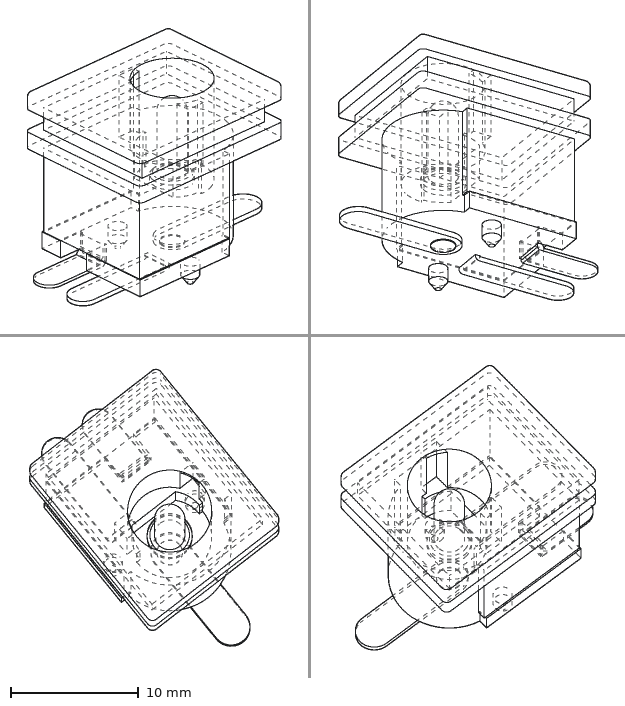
import cadquery as cq


base_height = 1.5
body_height = 7.48
flange_height = 1.5
neck_height = 2.0
cap_height = 1.53
body_bottom = base_height
flange_bottom = body_bottom + body_height
neck_bottom = flange_bottom + flange_height
cap_bottom = neck_bottom + neck_height
housing_top = cap_bottom + cap_height

cap_width, cap_back, cap_front = 13.0, 5.89, -9.78
neck_width, neck_back, neck_front = 11.06, 4.74, -8.65
body_width, body_back, body_front = 10.8, 1.02, -8.79
base_width, base_back, base_front = 11.06, 0.89, -8.85
barrel_diameter = 9.6
corner_radius = 0.49

bore_diameter = 6.6
front_ledge_depth = 6.0
relief_top_depth = 0.5
relief_width = 7.83
relief_back = -0.42
key_radius = 2.97
key_flat = 2.01
socket_depth = 9.0
contact_diameter = 2.4
contact_tip_depth = 1.7
collar_diameter = 3.55
collar_height = 0.66
collar_chamfer = 0.22

pin_spacing = 8.19
pin_y = -2.0
pin_diameter = 1.5
pin_length = 1.88
pin_chamfer = 0.5
pin_taper = 0.7

tab_bottom = -0.46
front_tab_width = 2.52
front_tab_x = 1.97
right_tab_end = -12.9
right_tab_start = -3.36
right_tab_bend = 0.38
right_tab_top = -0.07
right_tab_root_end = -3.83
left_tab_end = -12.75
left_tab_top = -0.2
left_tab_bend = 0.18
leg_back = -6.66
leg_front = -6.88
bend_front = -7.35
bend_top = 0.35
back_tab_width = 2.97
back_tab_end = 9.23
rivet_diameter = 2.0
rivet_bottom = -0.55
slot_clearance = 0.18


def block(width, back, front, bottom, height):
    """Box centred on X, between a back and a front face."""
    box = cq.Workplane("XY").box(width, back - front, height, centered=(True, False, False))
    return box.translate((0, front, bottom))


def cylinder(diameter, bottom, top):
    """Upright cylinder on the socket axis."""
    return cq.Workplane("XY").workplane(offset=bottom).circle(diameter / 2).extrude(top - bottom)


def tab_outline(width, x, start, end, rounded_start=False):
    """Closed plan outline of a tab at its underside, with a full round at its end."""
    radius = width / 2
    direction = 1 if end > start else -1
    round_start = end - direction * radius
    outline = (
        cq.Workplane("XY")
        .workplane(offset=tab_bottom)
        .moveTo(x - radius, start)
        .lineTo(x - radius, round_start)
        .threePointArc((x, end), (x + radius, round_start))
        .lineTo(x + radius, start)
    )
    if rounded_start:
        outline = outline.threePointArc((x, start - direction * radius), (x - radius, start))
    return outline.close()


def housing():
    cap = block(cap_width, cap_back, cap_front, cap_bottom, cap_height)
    cap = cap.edges("|Z or >Z").fillet(corner_radius)
    flange = block(cap_width, cap_back, cap_front, flange_bottom, flange_height)
    flange = flange.edges("|Z").fillet(corner_radius)
    neck = block(neck_width, neck_back, neck_front, neck_bottom, neck_height)
    body = block(body_width, body_back, body_front, body_bottom, body_height)
    base = block(base_width, base_back, base_front, 0, base_height)
    barrel = cylinder(barrel_diameter, 0, flange_bottom)
    return base.union(body).union(barrel).union(flange).union(neck).union(cap)


def socket():
    """Round bore, side-relieved under its rim, whose front half ends in a narrower flat-sided key."""
    bottom = housing_top - socket_depth
    ledge = housing_top - front_ledge_depth
    round_bore = cylinder(bore_diameter, ledge, housing_top)
    relief_height = front_ledge_depth - relief_top_depth
    side_relief = block(relief_width, relief_back, -key_flat, ledge, relief_height)
    back_half = cylinder(bore_diameter, bottom, housing_top).intersect(
        block(bore_diameter, bore_diameter, 0, bottom, socket_depth)
    )
    front_half = cylinder(2 * key_radius, bottom, housing_top).intersect(
        block(bore_diameter, bore_diameter, -key_flat, bottom, socket_depth)
    )
    return round_bore.union(side_relief).union(back_half).union(front_half)


def contact():
    """Centre contact with a domed tip, standing on a chamfered collar."""
    floor = housing_top - socket_depth
    collar = cylinder(collar_diameter, floor, floor + collar_height)
    collar = collar.faces(">Z").chamfer(collar_chamfer)
    radius = contact_diameter / 2
    dome_centre = housing_top - contact_tip_depth - radius
    dome = cq.Workplane("XY").sphere(radius).translate((0, 0, dome_centre))
    return collar.union(cylinder(contact_diameter, floor, dome_centre)).union(dome)


def locating_pins():
    return (
        cq.Workplane("XY")
        .pushPoints([(-pin_spacing / 2, pin_y), (pin_spacing / 2, pin_y)])
        .circle(pin_diameter / 2)
        .extrude(-pin_length)
        .faces("<Z")
        .chamfer(pin_taper, pin_chamfer)
    )


def back_tab():
    """Flat tab rounded at both ends, with a rivet head on the socket axis."""
    tab = tab_outline(back_tab_width, 0, 0, back_tab_end, rounded_start=True).extrude(-tab_bottom)
    return tab.union(cylinder(rivet_diameter, rivet_bottom, 0))


def right_tab():
    """Flat tab with a curled lower edge, hung just below the base from a thin root at its start."""
    plan = tab_outline(front_tab_width, front_tab_x, right_tab_start, right_tab_end)
    tab = plan.extrude(right_tab_top - tab_bottom)
    tab = tab.edges("|X and >Y and <Z").fillet(right_tab_bend)
    root = block(front_tab_width, right_tab_start, right_tab_root_end, right_tab_top, -right_tab_top)
    return tab.union(root.translate((front_tab_x, 0, 0)))


def left_tab():
    """Tab with a leg that rises in the base slot and bends to run outwards."""
    side = (
        cq.Workplane("YZ")
        .polyline(
            [
                (leg_back, base_height),
                (leg_back, tab_bottom + left_tab_bend),
                (leg_back - left_tab_bend, tab_bottom),
                (left_tab_end, tab_bottom),
                (left_tab_end, left_tab_top),
                (bend_front, left_tab_top),
                (leg_front, bend_top),
                (leg_front, base_height),
            ]
        )
        .close()
        .extrude(front_tab_width / 2, both=True)
        .translate((-front_tab_x, 0, 0))
    )
    plan = tab_outline(front_tab_width, -front_tab_x, leg_back, left_tab_end)
    return side.intersect(plan.extrude(base_height - tab_bottom))


slot_width = front_tab_width + 2 * slot_clearance
tab_slot = block(slot_width, leg_back, base_front, 0, base_height).translate((-front_tab_x, 0, 0))

result = housing().cut(tab_slot).cut(socket())
result = result.union(contact()).union(locating_pins())
result = result.union(back_tab()).union(right_tab()).union(left_tab())